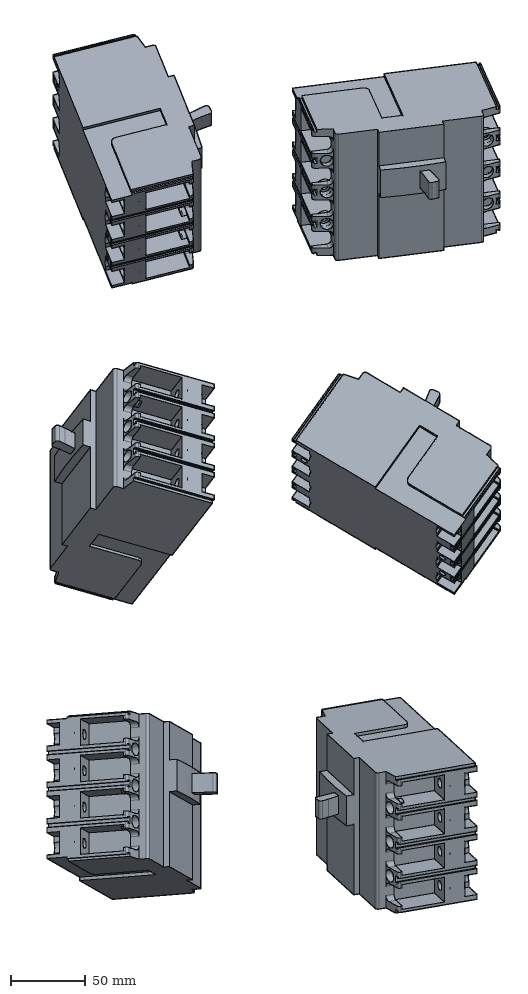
import cadquery as cq


length = 130.0
width = 100.0
pole_count = 4
pole_pitch = width / pole_count
half_length = length / 2
half_width = width / 2
end_height = 57.8
end_edge_radius = 2.0
step_x = 51.4
step_base_height = 61.0
cover_height = 68.0
cover_edge_radius = 2.0

housing_half_length = 22.5
housing_height = 72.0
plate_edge_height = 77.5
plate_crown_height = 78.4
plate_half_width = 10.9
toggle_pole = 2
toggle_half_width = 6.6
toggle_root_height = 76.7
toggle_rear_root_x = -10.7
toggle_rear_bend = (-12.1, 81.9)
toggle_rear_flare_end = (-13.3, 86.6)
toggle_rear_tip = (-14.8, 93.3)
toggle_rear_tip_radius = 2.0
toggle_front_root_x = -4.2
toggle_front_bend = (-5.8, 84.5)
toggle_front_tip = (-7.0, 94.4)
toggle_front_tip_radius = 2.0

well_half_width = 9.1
well_depth = 16.9
well_bottom = 24.0
well_top = 55.0
screw_x = 57.2
screw_slot_half_width = 6.6
screw_slot_corner_radius = 3.2
screw_hole_radius = 3.2
terminal_half_width = 7.7
terminal_depth = 13.8
terminal_height = 9.0
terminal_bore_radius = 7.0
terminal_bore_height = 19.5

slot_throat = 2.5
slot_head = 4.4
slot_lip = 1.2
slot_depth = 3.0

mount_x = 55.5
mount_hole_radius = 2.5
mount_head_radius = 4.3
mount_boss_radius = 5.1
mount_boss_bottom = 51.1
mount_head_floor = 52.1
dimple_floor = 55.9
mount_holes = [(-1, 3), (1, 2), (1, 1)]

recess_depth = 2.3
recess_left = 1.7
recess_inner = 16.2
recess_top = 54.6
recess_foot_height = 14.4
recess_corner_radius = 3.9

ends = (-1, 1)
pole_centers = [(i + 0.5) * pole_pitch - half_width for i in range(pole_count)]
boundaries = [i * pole_pitch - half_width for i in range(pole_count + 1)]


def box(x_range, y_range, z_range):
    """Axis-aligned box between pairs of limits, given in either order."""
    limits = [sorted(pair) for pair in (x_range, y_range, z_range)]
    sizes = [high - low for low, high in limits]
    corner = cq.Vector(*[low for low, high in limits])
    return cq.Workplane(cq.Solid.makeBox(*sizes, corner))


def post(radius, x, z, y_range):
    """Cylinder standing along Y."""
    low, high = y_range
    start = cq.Vector(x, low, z)
    return cq.Workplane(cq.Solid.makeCylinder(radius, high - low, start, cq.Vector(0, 1, 0)))


def across(profile, z_center, half_thickness):
    """Extrude an XY profile symmetrically along Z."""
    return profile.extrude(half_thickness, both=True).translate((0, 0, z_center))


def make_body():
    profile = (
        cq.Workplane("XY")
        .moveTo(-half_length, 0)
        .lineTo(half_length, 0)
        .lineTo(half_length, end_height)
        .lineTo(step_x, step_base_height)
        .lineTo(step_x, cover_height)
        .lineTo(-step_x, cover_height)
        .lineTo(-step_x, step_base_height)
        .lineTo(-half_length, end_height)
        .close()
    )
    body = across(profile, 0, half_width)
    for x, y, radius in [
        (half_length, end_height, end_edge_radius),
        (step_x, cover_height, cover_edge_radius),
    ]:
        for end in ends:
            body = body.edges(cq.NearestToPointSelector((end * x, y, 0))).fillet(radius)
    return body


def make_housing():
    housing = box(
        (-housing_half_length, housing_half_length),
        (step_base_height, housing_height),
        (-half_width, half_width),
    )
    crowned_plate = (
        cq.Workplane("XY")
        .moveTo(-housing_half_length, step_base_height)
        .lineTo(housing_half_length, step_base_height)
        .lineTo(housing_half_length, plate_edge_height)
        .threePointArc((0, plate_crown_height), (-housing_half_length, plate_edge_height))
        .close()
    )
    return housing.union(across(crowned_plate, pole_centers[toggle_pole], plate_half_width))


def make_toggle():
    profile = (
        cq.Workplane("XY")
        .moveTo(toggle_front_root_x, toggle_root_height)
        .threePointArc(toggle_front_bend, toggle_front_tip)
        .lineTo(*toggle_rear_tip)
        .lineTo(*toggle_rear_flare_end)
        .threePointArc(toggle_rear_bend, (toggle_rear_root_x, toggle_root_height))
        .close()
    )
    toggle = across(profile, pole_centers[toggle_pole], toggle_half_width)
    toggle = toggle.edges("|Z and >Y").fillet(toggle_front_tip_radius)
    return toggle.edges("|Z and <X").fillet(toggle_rear_tip_radius)


def pole_end_cuts(end, z):
    """Well, screw access slot, terminal seat and screw hole at one end of a pole."""
    outer = end * half_length
    screw = end * screw_x
    well = box(
        (outer, outer - end * well_depth),
        (well_bottom, well_top),
        (z - well_half_width, z + well_half_width),
    )
    slot = box(
        (outer, end * step_x),
        (well_top, step_base_height),
        (z - screw_slot_half_width, z + screw_slot_half_width),
    )
    inner_corners = "|Y and <X" if end > 0 else "|Y and >X"
    slot = slot.edges(inner_corners).fillet(screw_slot_corner_radius)
    seat = box(
        (outer, outer - end * terminal_depth),
        (0, terminal_height),
        (z - terminal_half_width, z + terminal_half_width),
    )
    bore = post(terminal_bore_radius, screw, z, (0, terminal_bore_height))
    hole = post(screw_hole_radius, screw, z, (0, well_top))
    return [well, slot, seat, bore, hole]


def barrier_slot(end, z):
    """T-shaped slot over the full height of an end face."""
    outer = end * half_length
    span = (0, step_base_height)
    throat = box((outer, outer - end * slot_depth), span, (z - slot_throat / 2, z + slot_throat / 2))
    head = box(
        (outer - end * slot_lip, outer - end * slot_depth),
        span,
        (z - slot_head / 2, z + slot_head / 2),
    )
    return throat.union(head)


def flank_recess(side):
    """L-shaped step cut into one flank."""
    profile = (
        cq.Workplane("XY")
        .moveTo(recess_left, 0)
        .lineTo(half_length, 0)
        .lineTo(half_length, recess_foot_height)
        .lineTo(recess_inner + recess_corner_radius, recess_foot_height)
        .radiusArc((recess_inner, recess_foot_height + recess_corner_radius), recess_corner_radius)
        .lineTo(recess_inner, recess_top)
        .lineTo(recess_left, recess_top)
        .close()
    )
    return across(profile, side * half_width, recess_depth)


result = make_body().union(make_housing()).union(make_toggle())

for end in ends:
    for z in pole_centers:
        for cut in pole_end_cuts(end, z):
            result = result.cut(cut)

for end in ends:
    for index, z in enumerate(boundaries):
        result = result.cut(barrier_slot(end, z))
        if index in (0, pole_count):
            continue
        x = end * mount_x
        head_floor = dimple_floor
        if (end, index) in mount_holes:
            head_floor = mount_head_floor
            result = result.union(post(mount_boss_radius, x, z, (mount_boss_bottom, well_top)))
            result = result.cut(post(mount_hole_radius, x, z, (0, well_top)))
        result = result.cut(post(mount_head_radius, x, z, (head_floor, step_base_height)))

for side in ends:
    result = result.cut(flank_recess(side))